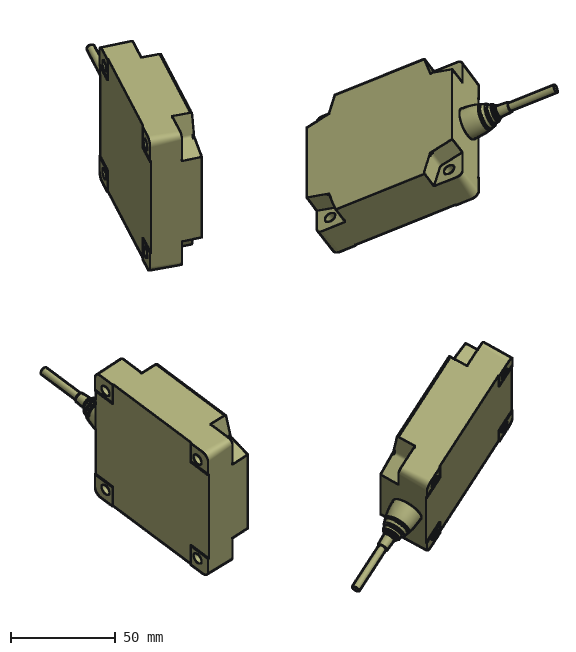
import cadquery as cq
import math

SIDE = 80.0
DEPTH = 26.0
BACK_SIDE = 79.5
FRONT_CORNER_RADIUS = 4.0
BACK_CORNER_RADIUS = 2.3
BACK_ROUND = 0.8

PAD_SIDE = 12.5
PAD_HEIGHT = 0.4
HOLE_DIAMETER = 5.6
HOLE_INSET = 7.5
FLANGE_THICKNESS = 16.0
POCKET_EDGE = 15.8
POCKET_CORNER = 12.3
POCKET_FILLET = 2.0
LID_THICKNESS = 0.8

AXIS_Y = 11.0
CABLE_LENGTH = 48.0
CABLE_RADIUS = 2.1
BOOT_LENGTH = 9.2
BOOT_BASE_RADIUS = 8.0
BOOT_TIP_RADIUS = 6.7
SLEEVE_START = 16.9
SLEEVE_END = 23.0
SLEEVE_BASE_RADIUS = 2.95
SLEEVE_TIP_RADIUS = 2.6
RINGS = [
    (5.3, 10.2, 12.3, 6.4, 5.7),
    (4.0, 13.2, 15.0, 4.9, 4.55),
    (3.2, 15.9, SLEEVE_START, 3.75, 3.05),
]
EMBED = 1.0

HALF = SIDE / 2
CORNER_SIGNS = [(sx, sz) for sx in (-1, 1) for sz in (-1, 1)]


def plane_at(y):
    """Workplane at the given Y with local axes X and Z; extrusions run towards -Y."""
    return cq.Workplane("XZ", origin=(0, y, 0))


def rounded_square(side, radius):
    """Centred square with rounded corners."""
    return cq.Sketch().rect(side, side).vertices().fillet(radius)


def box(x_range, y_range, z_range):
    """Box spanning the given coordinate ranges."""
    (x0, x1), (y0, y1), (z0, z1) = x_range, y_range, z_range
    return cq.Workplane("XY").box(x1 - x0, y1 - y0, z1 - z0, centered=False).translate((x0, y0, z0))


def make_block():
    """Tapered block with rounded corners and rounded upper and lower back edges."""
    front = rounded_square(SIDE, FRONT_CORNER_RADIUS)
    back = rounded_square(BACK_SIDE, BACK_CORNER_RADIUS)
    to_back = cq.Location(cq.Vector(0, 0, -DEPTH))
    block = plane_at(0).placeSketch(front, back.moved(to_back)).loft()
    half_back = BACK_SIDE / 2
    middle_drop = BACK_ROUND * (1 - math.sqrt(0.5))
    for sign in (-1, 1):
        arc_end = (DEPTH, sign * (half_back - BACK_ROUND))
        edge_waste = (
            cq.Workplane("YZ", origin=(-HALF, 0, 0))
            .moveTo(DEPTH - BACK_ROUND, sign * half_back)
            .threePointArc((DEPTH - middle_drop, sign * (half_back - middle_drop)), arc_end)
            .lineTo(DEPTH, sign * HALF)
            .lineTo(DEPTH - BACK_ROUND, sign * HALF)
            .close()
            .extrude(SIDE)
        )
        block = block.cut(edge_waste)
    return block


def corner_pocket(sx, sz):
    """Void behind a mounting corner, flaring towards the two housing edges."""
    outline = [
        (HALF, HALF),
        (HALF - POCKET_EDGE, HALF),
        (HALF - POCKET_CORNER, HALF - POCKET_CORNER),
        (HALF, HALF - POCKET_EDGE),
    ]
    points = [(sx * x, sz * z) for x, z in outline]
    lid_y = DEPTH - LID_THICKNESS
    inner = plane_at(lid_y).polyline(points).close().extrude(lid_y - FLANGE_THICKNESS)
    corner_x, corner_z = points[2]
    at_corner = cq.selectors.NearestToPointSelector(
        (corner_x, (lid_y + FLANGE_THICKNESS) / 2, corner_z)
    )
    inner = inner.edges(at_corner).fillet(POCKET_FILLET)
    lid = plane_at(DEPTH).polyline(points).close().extrude(LID_THICKNESS)
    return inner.union(lid)


def mounting_hole(sx, sz):
    """Through hole in a mounting corner."""
    inset = HALF - HOLE_INSET
    return plane_at(DEPTH).center(sx * inset, sz * inset).circle(HOLE_DIAMETER / 2).extrude(DEPTH)


def face_relief():
    """Cross-shaped shallow cut that leaves the four corner pads proud."""
    reach = HALF - PAD_SIDE
    full = (-HALF, HALF)
    middle = (-reach, reach)
    depth = (0, PAD_HEIGHT)
    return box(full, depth, middle).union(box(middle, depth, full))


def make_cable():
    """Cable, sleeve, rings and bell-shaped boot as one turned body."""
    profile = (
        cq.Workplane("XY", origin=(-HALF, AXIS_Y, 0))
        .moveTo(EMBED, 0)
        .lineTo(EMBED, BOOT_BASE_RADIUS)
        .lineTo(0, BOOT_BASE_RADIUS)
        .tangentArcPoint((-BOOT_LENGTH, BOOT_TIP_RADIUS), relative=False)
    )
    previous_end = BOOT_LENGTH
    for groove_radius, start, end, inner_radius, outer_radius in RINGS:
        profile = (
            profile.lineTo(-previous_end, groove_radius)
            .lineTo(-start, groove_radius)
            .lineTo(-start, inner_radius)
            .lineTo(-end, outer_radius)
        )
        previous_end = end
    return (
        profile.lineTo(-SLEEVE_START, SLEEVE_BASE_RADIUS)
        .lineTo(-SLEEVE_END, SLEEVE_TIP_RADIUS)
        .lineTo(-SLEEVE_END, CABLE_RADIUS)
        .lineTo(-CABLE_LENGTH, CABLE_RADIUS)
        .lineTo(-CABLE_LENGTH, 0)
        .close()
        .revolve(360, (0, 0, 0), (1, 0, 0))
    )


housing = make_block().cut(face_relief())
for sign_x, sign_z in CORNER_SIGNS:
    housing = housing.cut(corner_pocket(sign_x, sign_z))
    housing = housing.cut(mounting_hole(sign_x, sign_z))

result = housing.union(make_cable())